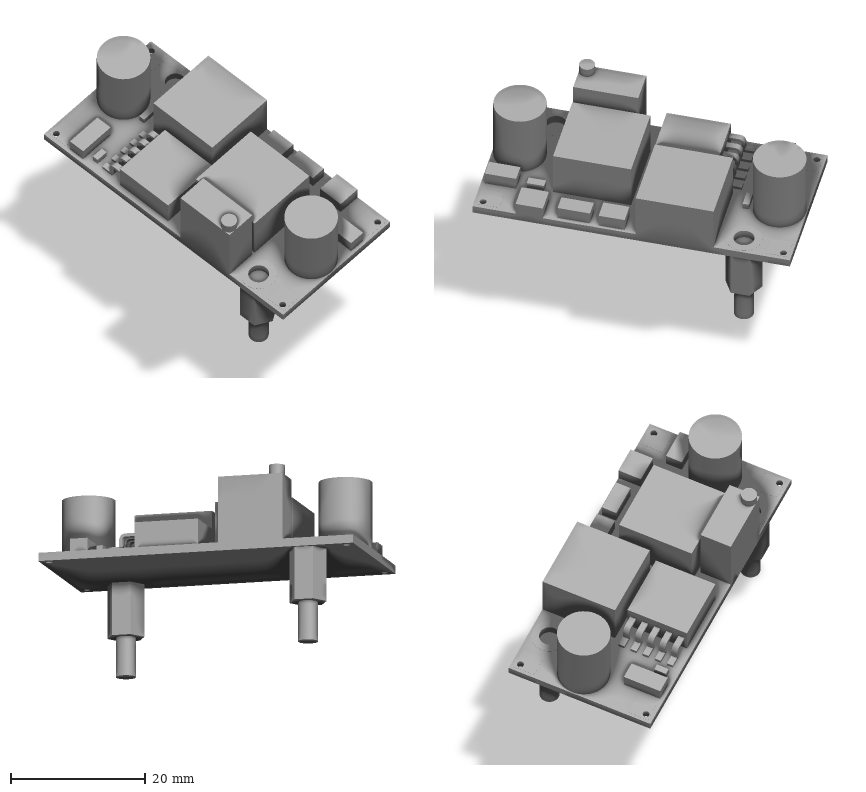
import cadquery as cq
import math


BOARD_LENGTH = 48.8
BOARD_WIDTH = 23.4
BOARD_THICKNESS = 1.25
CORNER_HOLE_DIAMETER = 1.02
CORNER_HOLE_INSET = 1.3

STANDOFF_INSET_X = 7.8
STANDOFF_INSET_Y = 3.05
STANDOFF_CENTERS = [
    (STANDOFF_INSET_X, BOARD_WIDTH - STANDOFF_INSET_Y),
    (BOARD_LENGTH - STANDOFF_INSET_X, STANDOFF_INSET_Y),
]
HEX_ACROSS_FLATS = 5.0
HEX_HEIGHT = 8.0
STUD_DIAMETER = 3.05
STUD_LENGTH = 6.0
STANDOFF_HOLE_DIAMETER = 3.1

PAD_THICKNESS = 0.03
PAD_INSET_X = 0.465
PAD_INSET_Y = 0.65
PAD_LENGTH = 3.4
PAD_WIDTH = 3.25
ROUND_PAD_DIAMETER = 5.5

CAPACITOR_DIAMETER = 8.0
CAPACITOR_HEIGHT = 10.3
CAPACITOR_CENTERS = [(4.15, 13.0), (44.65, 10.6)]

INDUCTOR_SIDE = 12.0
INDUCTOR_HEIGHT = 7.35
INDUCTOR_CORNERS = [(11.7, BOARD_WIDTH - INDUCTOR_SIDE), (25.85, 5.5)]

TRIMMER_LEFT = 27.85
TRIMMER_LENGTH = 10.0
TRIMMER_WIDTH = 5.0
TRIMMER_HEIGHT = 10.0
SCREW_DIAMETER = 2.4
SCREW_HEIGHT = 1.45

REGULATOR_LEFT = 14.65
REGULATOR_FRONT = 0.95
REGULATOR_SIDE = 9.85
REGULATOR_HEIGHT = 4.0
LEAD_COUNT = 5
LEAD_PITCH = 2.0
LEAD_WIDTH = 1.0
LEAD_THICKNESS = 0.5
LEAD_RISE = 2.5
LEAD_REACH = 4.0
FOOT_LENGTH = 2.0
BEND_INNER_RADIUS = 0.5

THICK_CHIP_HEIGHT = 2.0
THICK_CHIPS = [
    (4.75, 0.65, 2.7, 6.0),
    (25.5, 19.95, 4.0, 3.0),
    (30.9, 20.4, 5.0, 2.4),
    (37.95, 19.7, 4.2, 3.7),
    (43.4, 15.5, 4.85, 2.65),
]
THIN_CHIP_HEIGHT = 0.95
THIN_CHIPS = [
    (8.6, 1.5, 1.0, 1.95),
    (8.6, 11.65, 1.0, 2.5),
    (39.25, 16.3, 2.7, 1.25),
]


def block(left, front, length, width, height):
    """Rectangular component standing on the board."""
    return (
        cq.Workplane("XY")
        .box(length, width, height, centered=False)
        .translate((left, front, BOARD_THICKNESS))
    )


def hole_cutters(centers, diameter):
    """Round cutters that pass through the board and the pads on it."""
    return (
        cq.Workplane("XY")
        .pushPoints(centers)
        .circle(diameter / 2)
        .extrude(BOARD_THICKNESS + PAD_THICKNESS)
    )


def make_bare_board():
    """Flat board with thin pads on top, a hole in each corner and one over each standoff."""
    board = cq.Workplane("XY").box(BOARD_LENGTH, BOARD_WIDTH, BOARD_THICKNESS, centered=False)

    for left in (PAD_INSET_X, BOARD_LENGTH - PAD_INSET_X - PAD_LENGTH):
        for front in (PAD_INSET_Y, BOARD_WIDTH - PAD_INSET_Y - PAD_WIDTH):
            board = board.union(block(left, front, PAD_LENGTH, PAD_WIDTH, PAD_THICKNESS))
    round_pads = (
        cq.Workplane("XY", origin=(0, 0, BOARD_THICKNESS))
        .pushPoints(STANDOFF_CENTERS)
        .circle(ROUND_PAD_DIAMETER / 2)
        .extrude(PAD_THICKNESS)
    )
    board = board.union(round_pads)

    corner_centers = [
        (x, y)
        for x in (CORNER_HOLE_INSET, BOARD_LENGTH - CORNER_HOLE_INSET)
        for y in (CORNER_HOLE_INSET, BOARD_WIDTH - CORNER_HOLE_INSET)
    ]
    board = board.cut(hole_cutters(corner_centers, CORNER_HOLE_DIAMETER))
    return board.cut(hole_cutters(STANDOFF_CENTERS, STANDOFF_HOLE_DIAMETER))


def make_capacitor(center):
    return (
        cq.Workplane("XY", origin=(*center, BOARD_THICKNESS))
        .circle(CAPACITOR_DIAMETER / 2)
        .extrude(CAPACITOR_HEIGHT)
    )


def make_trimmer():
    """Upright box, flush with the board's front edge, with a round screw on top."""
    body = block(TRIMMER_LEFT, 0, TRIMMER_LENGTH, TRIMMER_WIDTH, TRIMMER_HEIGHT)
    screw_x = TRIMMER_LEFT + TRIMMER_LENGTH - SCREW_DIAMETER / 2
    screw_y = SCREW_DIAMETER / 2
    screw = (
        cq.Workplane("XY", origin=(screw_x, screw_y, BOARD_THICKNESS + TRIMMER_HEIGHT))
        .circle(SCREW_DIAMETER / 2)
        .extrude(SCREW_HEIGHT)
    )
    return body.union(screw)


def make_lead(center_y):
    """Flat strip: a foot on the board, a vertical leg, and a rounded bend into the regulator."""
    toe = REGULATOR_LEFT - LEAD_REACH
    leg_inside = toe + FOOT_LENGTH
    leg_outside = leg_inside - LEAD_THICKNESS
    outer_radius = BEND_INNER_RADIUS + LEAD_THICKNESS
    bend_x = leg_outside + outer_radius
    bend_z = LEAD_RISE - outer_radius
    diagonal = math.sqrt(0.5)
    outer_offset = outer_radius * diagonal
    inner_offset = BEND_INNER_RADIUS * diagonal
    return (
        cq.Workplane("XZ", origin=(0, center_y, BOARD_THICKNESS))
        .moveTo(toe, 0)
        .lineTo(leg_inside, 0)
        .lineTo(leg_inside, bend_z)
        .threePointArc(
            (bend_x - inner_offset, bend_z + inner_offset),
            (bend_x, bend_z + BEND_INNER_RADIUS),
        )
        .lineTo(REGULATOR_LEFT, LEAD_RISE - LEAD_THICKNESS)
        .lineTo(REGULATOR_LEFT, LEAD_RISE)
        .lineTo(bend_x, LEAD_RISE)
        .threePointArc(
            (bend_x - outer_offset, bend_z + outer_offset),
            (leg_outside, bend_z),
        )
        .lineTo(leg_outside, LEAD_THICKNESS)
        .lineTo(toe, LEAD_THICKNESS)
        .close()
        .extrude(LEAD_WIDTH / 2, both=True)
    )


def make_regulator():
    """Square package with its leads spaced evenly about the middle of its left side."""
    regulator = block(
        REGULATOR_LEFT, REGULATOR_FRONT, REGULATOR_SIDE, REGULATOR_SIDE, REGULATOR_HEIGHT
    )
    middle_y = REGULATOR_FRONT + REGULATOR_SIDE / 2
    for index in range(LEAD_COUNT):
        offset = (index - (LEAD_COUNT - 1) / 2) * LEAD_PITCH
        regulator = regulator.union(make_lead(middle_y + offset))
    return regulator


def make_board_assembly():
    """Board and all the components soldered to it, as one solid."""
    components = [make_trimmer(), make_regulator()]
    for center in CAPACITOR_CENTERS:
        components.append(make_capacitor(center))
    for left, front in INDUCTOR_CORNERS:
        components.append(block(left, front, INDUCTOR_SIDE, INDUCTOR_SIDE, INDUCTOR_HEIGHT))
    for chip in THICK_CHIPS:
        components.append(block(*chip, THICK_CHIP_HEIGHT))
    for chip in THIN_CHIPS:
        components.append(block(*chip, THIN_CHIP_HEIGHT))

    assembly = make_bare_board()
    for component in components:
        assembly = assembly.union(component)
    return assembly


def make_standoff(center):
    """Hexagonal body with two flats facing front and back, and a stud below it."""
    hex_across_corners = HEX_ACROSS_FLATS / math.cos(math.pi / 6)
    hex_body = (
        cq.Workplane("XY", origin=(*center, 0))
        .polygon(6, hex_across_corners)
        .extrude(-HEX_HEIGHT)
    )
    stud = (
        cq.Workplane("XY", origin=(*center, -HEX_HEIGHT))
        .circle(STUD_DIAMETER / 2)
        .extrude(-STUD_LENGTH)
    )
    return hex_body.union(stud)


board_assembly = make_board_assembly()
standoffs = [make_standoff(center) for center in STANDOFF_CENTERS]

result = cq.Compound.makeCompound(
    [board_assembly.val(), *[standoff.val() for standoff in standoffs]]
)